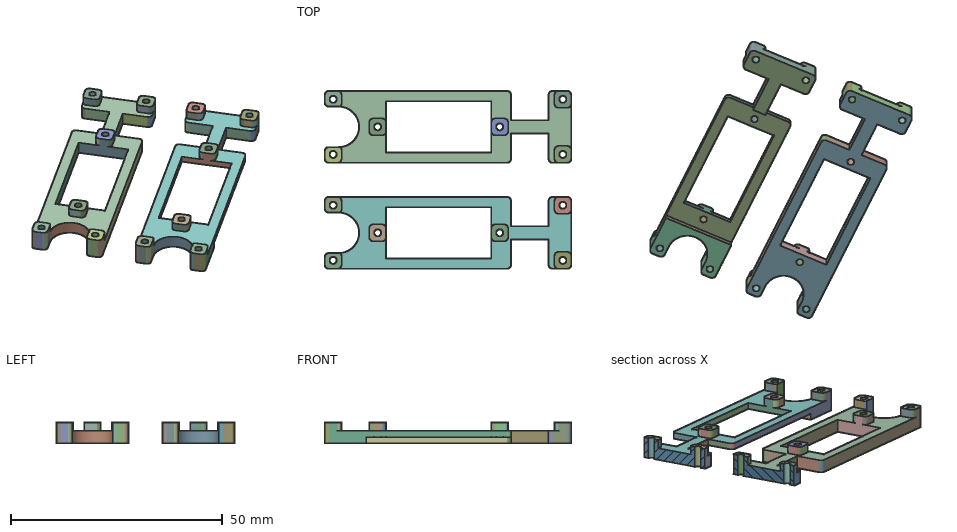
import cadquery as cq

FRAME_LENGTH = 58.2
FRAME_WIDTH = 17.0
PLATE_THICKNESS = 3.0
TOTAL_HEIGHT = 5.0
PLATE_LENGTH = 44.0
CROSSBAR_LENGTH = 5.4
NECK_WIDTH = 3.2
CORNER_RADIUS = 1.0

POST_SIZE = 4.0
POST_HOLE_DIAMETER = 1.6
MOUNT_CENTER_X = 26.9
MOUNT_SPACING = 28.8

WINDOW_LENGTH = MOUNT_SPACING - POST_SIZE
WINDOW_WIDTH = 12.0

NOTCH_RADIUS = 4.75
NOTCH_DEPTH = 8.1

RELIEF_START_X = 9.8
RELIEF_DEPTH = 1.5

FRAME_PITCH = 25.0

POST_INSET = POST_SIZE / 2
END_POST_Y = FRAME_WIDTH / 2 - POST_INSET
LEFT_POSTS = [(POST_INSET, side * END_POST_Y) for side in (-1, 1)]
RIGHT_POSTS = [(FRAME_LENGTH - POST_INSET, side * END_POST_Y) for side in (-1, 1)]
MOUNT_POSTS = [(MOUNT_CENTER_X + side * MOUNT_SPACING / 2, 0) for side in (-1, 1)]
ALL_POSTS = LEFT_POSTS + RIGHT_POSTS + MOUNT_POSTS


def block(x_start, length, width, height):
    """Box resting on Z = 0 and centred on Y = 0."""
    box = cq.Workplane("XY").box(length, width, height, centered=(False, True, False))
    return box.translate((x_start, 0, 0))


def make_plate():
    """Main plate and crossbar with rounded corners, joined by the neck."""
    crossbar_x = FRAME_LENGTH - CROSSBAR_LENGTH
    main = block(0, PLATE_LENGTH, FRAME_WIDTH, PLATE_THICKNESS).edges("|Z").fillet(CORNER_RADIUS)
    crossbar = block(crossbar_x, CROSSBAR_LENGTH, FRAME_WIDTH, PLATE_THICKNESS)
    crossbar = crossbar.edges("|Z").fillet(CORNER_RADIUS)
    neck_x = PLATE_LENGTH - CORNER_RADIUS
    neck_length = crossbar_x + CORNER_RADIUS - neck_x
    neck = block(neck_x, neck_length, NECK_WIDTH, PLATE_THICKNESS)
    window_x = MOUNT_CENTER_X - WINDOW_LENGTH / 2
    window = block(window_x, WINDOW_LENGTH, WINDOW_WIDTH, PLATE_THICKNESS)
    return main.union(neck).union(crossbar).cut(window)


def make_posts():
    """Rounded square posts standing on the plate."""
    posts = cq.Workplane("XY").workplane(offset=PLATE_THICKNESS).pushPoints(ALL_POSTS)
    posts = posts.rect(POST_SIZE, POST_SIZE).extrude(TOTAL_HEIGHT - PLATE_THICKNESS)
    return posts.edges("|Z").fillet(CORNER_RADIUS)


def make_notch():
    """Cutter for the notch, flared at its mouth to round the tips of the left end."""
    arc_center_x = NOTCH_DEPTH - NOTCH_RADIUS
    mouth_half_width = NOTCH_RADIUS + CORNER_RADIUS
    arc_offset = CORNER_RADIUS * (1 - 0.5 ** 0.5)
    return (
        cq.Workplane("XY")
        .moveTo(0, mouth_half_width)
        .threePointArc((arc_offset, NOTCH_RADIUS + arc_offset), (CORNER_RADIUS, NOTCH_RADIUS))
        .lineTo(arc_center_x, NOTCH_RADIUS)
        .threePointArc((NOTCH_DEPTH, 0), (arc_center_x, -NOTCH_RADIUS))
        .lineTo(CORNER_RADIUS, -NOTCH_RADIUS)
        .threePointArc((arc_offset, -NOTCH_RADIUS - arc_offset), (0, -mouth_half_width))
        .close()
        .extrude(TOTAL_HEIGHT)
    )


def make_full_frame():
    """Frame of full thickness."""
    holes = cq.Workplane("XY").pushPoints(ALL_POSTS).circle(POST_HOLE_DIAMETER / 2).extrude(TOTAL_HEIGHT)
    return make_plate().union(make_posts()).cut(make_notch()).cut(holes)


def make_thinned_frame():
    """Frame relieved underneath, from behind the notch to the end of the main plate."""
    relief = block(RELIEF_START_X, PLATE_LENGTH - RELIEF_START_X, FRAME_WIDTH, RELIEF_DEPTH)
    return make_full_frame().cut(relief)


thinned_frame = make_thinned_frame()
full_frame = make_full_frame().translate((0, FRAME_PITCH, 0))

result = cq.Compound.makeCompound([thinned_frame.val(), full_frame.val()])